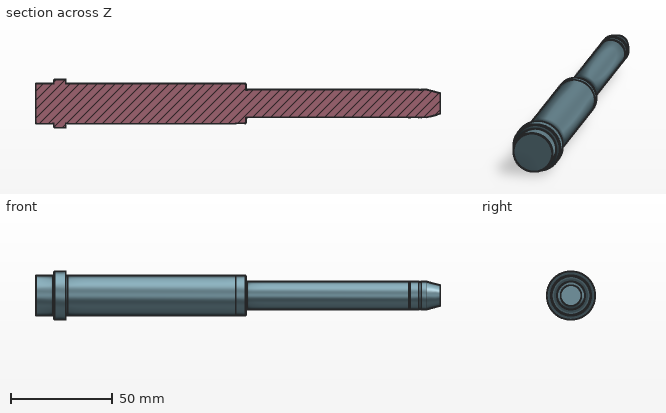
import cadquery as cq
import math

total_length = 200.0
collar_start = 9.0
collar_end = 15.0
shank_end = 104.0
lead_length = 5.0
taper_length = 7.0

collar_diameter = 24.0
shank_diameter = 20.0
pin_diameter = 14.0

head_chamfer = 0.3
collar_chamfer = 0.5
shank_end_chamfer = 0.5
taper_angle = 15.0

head_relief_width = 0.6
shank_relief_width = 0.8
shank_relief_depth = 0.05
lead_depth = 0.03
root_relief_width = 0.5
relief_depth = 0.2
narrow_groove_start = 184.4
narrow_groove_width = 0.6
narrow_groove_depth = 0.1
wide_groove_start = 189.2
wide_groove_width = 1.2

collar_radius = collar_diameter / 2
shank_radius = shank_diameter / 2
pin_radius = pin_diameter / 2
taper_start = total_length - taper_length
tip_radius = pin_radius - taper_length * math.tan(math.radians(taper_angle))


def cylinder(start, length, radius):
    """Solid cylinder on the X axis, beginning at the given station."""
    return cq.Workplane("YZ").workplane(offset=start).circle(radius).extrude(length)


def cut_groove(body, start, width, outer_radius, depth):
    """Cut a shallow groove into a cylindrical surface of the given radius."""
    ring = cylinder(start, width, outer_radius).cut(cylinder(start, width, outer_radius - depth))
    return body.cut(ring)


def make_head():
    """Locating end with a chamfered collar and a relief in front of the collar."""
    end = cylinder(0, collar_start, shank_radius).faces("<X").chamfer(head_chamfer)
    relief_start = collar_start - head_relief_width
    end = cut_groove(end, relief_start, head_relief_width, shank_radius, relief_depth)
    collar = cylinder(collar_start, collar_end - collar_start, collar_radius)
    return end.union(collar.faces("<X").chamfer(collar_chamfer))


def make_shank():
    """Main shank: relief behind the collar, reduced lead and chamfered far edge."""
    shank = cylinder(collar_end, shank_end - collar_end, shank_radius)
    shank = cut_groove(shank, collar_end, shank_relief_width, shank_radius, shank_relief_depth)
    shank = cut_groove(shank, shank_end - lead_length, lead_length, shank_radius, lead_depth)
    return shank.faces(">X").edges().chamfer(shank_end_chamfer)


def make_pin():
    """Slim pin with a relief at its root, two grooves and a tapered tip."""
    pin = cylinder(shank_end, taper_start - shank_end, pin_radius)
    pin = cut_groove(pin, shank_end, root_relief_width, pin_radius, relief_depth)
    pin = cut_groove(pin, narrow_groove_start, narrow_groove_width, pin_radius, narrow_groove_depth)
    pin = cut_groove(pin, wide_groove_start, wide_groove_width, pin_radius, relief_depth)
    tip_base = cq.Workplane("YZ").workplane(offset=taper_start).circle(pin_radius)
    tip = tip_base.workplane(offset=taper_length).circle(tip_radius).loft()
    return pin.union(tip)


result = make_head().union(make_shank()).union(make_pin())